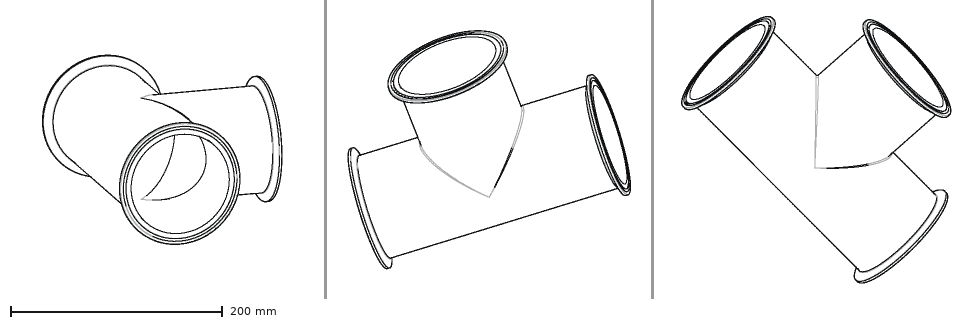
import cadquery as cq

tube_od = 101.6
tube_id = 97.38
flange_od = 118.92
run_length = 241.3
leg_reach = run_length / 2
crotch_fillet = 1.5

rim_thickness = 2.8
flange_thickness = 6.1
collar_length = 16.0
rim_fillet = 0.4
cone_root_fillet = 0.8

groove_mid_dia = 110.0
groove_width = 2.7
groove_depth = 1.0
groove_edge_fillet = 0.4

tube_r = tube_od / 2
bore_r = tube_id / 2
flange_r = flange_od / 2
groove_mid_r = groove_mid_dia / 2
groove_inner_r = groove_mid_r - groove_width / 2
groove_outer_r = groove_mid_r + groove_width / 2

end_planes = [
    cq.Plane(origin=(leg_reach, 0, 0), xDir=(0, 1, 0), normal=(1, 0, 0)),
    cq.Plane(origin=(-leg_reach, 0, 0), xDir=(0, 1, 0), normal=(-1, 0, 0)),
    cq.Plane(origin=(0, leg_reach, 0), xDir=(1, 0, 0), normal=(0, 1, 0)),
]


def cross_of_cylinders(radius, reach):
    """Solid run and branch cylinders of one radius, joined, reaching out from the origin."""
    run = cq.Workplane("YZ").circle(radius).extrude(reach, both=True)
    branch = cq.Workplane("XZ").circle(radius).extrude(-reach)
    return run.union(branch)


def tee_body():
    """Solid outside of the tee between its collars, filleted along the mitred joint."""
    body = cross_of_cylinders(tube_r, leg_reach - collar_length)
    return body.edges("%ELLIPSE").fillet(crotch_fillet)


def rings(solid, radius):
    """Circular edges of the given radius that are concentric with the Z axis."""
    tolerance = 0.01
    return [e for e in solid.edges("%CIRCLE").vals() if abs(e.radius() - radius) < tolerance]


def collar():
    """Solid clamp flange about Z, end face at Z = 0 and tube toward -Z."""
    section = (
        cq.Workplane("XZ")
        .lineTo(groove_inner_r, 0)
        .threePointArc((groove_mid_r, -groove_depth), (groove_outer_r, 0))
        .lineTo(flange_r, 0)
        .lineTo(flange_r, -rim_thickness)
        .lineTo(tube_r, -flange_thickness)
        .lineTo(tube_r, -collar_length)
        .lineTo(0, -collar_length)
        .close()
    )
    body = section.revolve(360, (0, 0, 0), (0, 1, 0))
    body = body.newObject(rings(body, flange_r)).fillet(rim_fillet)
    groove_edges = rings(body, groove_inner_r) + rings(body, groove_outer_r)
    body = body.newObject(groove_edges).fillet(groove_edge_fillet)
    cone_root = max(rings(body, tube_r), key=lambda edge: edge.Center().z)
    return body.newObject([cone_root]).fillet(cone_root_fillet)


tee = tee_body()
flange = collar().val()
for plane in end_planes:
    tee = tee.union(cq.Workplane(flange.moved(plane.location)))

result = tee.cut(cross_of_cylinders(bore_r, leg_reach))